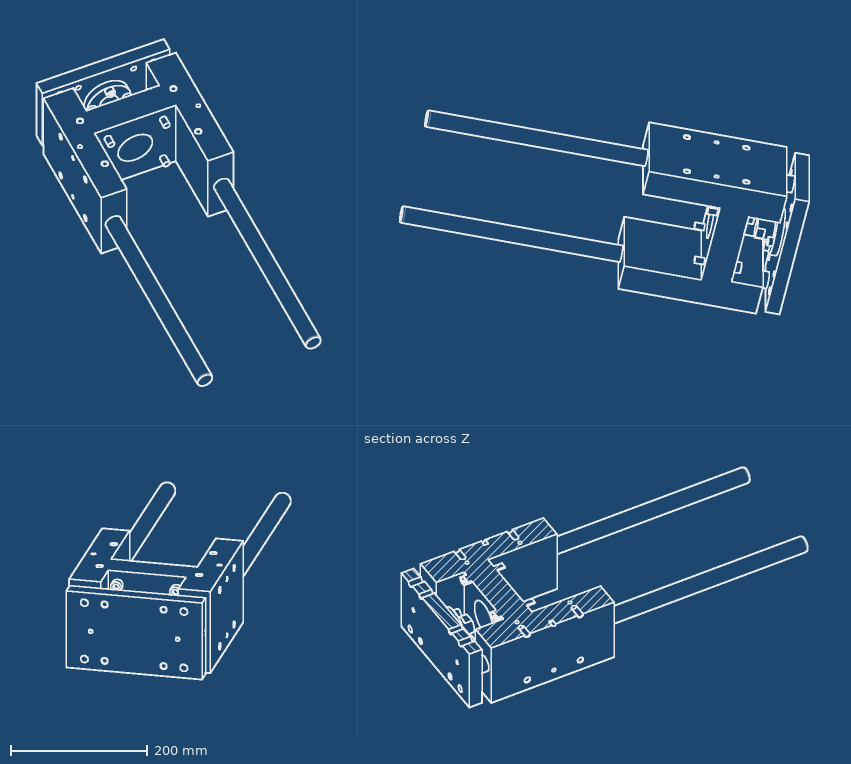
import cadquery as cq
import math


plate_thickness = 21.5
plate_width = 205
plate_height = 121

rod_diameter = 25
rod_spacing = 174
rod_end = 571
rod_taper_length = 3
rod_taper_start = rod_end - rod_taper_length
rod_taper_depth = 0.8

housing_gap = 13
housing_start = plate_thickness + housing_gap
housing_length = 207
housing_end = housing_start + housing_length
housing_width = 213
housing_height = 129
housing_top = 65.5
housing_bottom = housing_top - housing_height
front_opening_width = 117
rear_opening_width = 130
web_start = 81.5
web_thickness = 44.5
web_end = web_start + web_thickness
web_bore_diameter = 55

bolt_pitch = 89
half_pitch = bolt_pitch / 2
bolt_pattern_x = 140
thread_diameter = 10
tap_diameter = 8.5
tap_depth = 20
drill_point_angle = 118
dowel_diameter = 6
dowel_depth = 10
top_bolt_spacing = 150
top_dowel_spacing = 190
plate_clearance_diameter = 11
plate_clearance_spacing = 150
plate_dowel_spacing = 131

web_screw_diameter = 10
web_screw_head_diameter = 16
web_screw_head_height = 10.5
web_screw_projection = 14
web_screw_socket = 8
web_screw_socket_depth = 5

flange_diameter = 70
flange_thickness = 10.5
flange_end = plate_thickness + flange_thickness
boss_diameter = 29
boss_end = 57.5
flat_length = 12
flat_spacing = 24
flange_screw_head_diameter = 13
flange_screw_head_height = 8
flange_screw_circle = flange_diameter - flange_screw_head_diameter
flange_screw_count = 4
flange_screw_socket = 6
flange_screw_socket_depth = 4


def box(x_range, y_range, z_range):
    """Axis-aligned block between the given limits."""
    size = [high - low for low, high in (x_range, y_range, z_range)]
    corner = (x_range[0], y_range[0], z_range[0])
    return cq.Workplane("XY").box(*size, centered=False).translate(corner)


def rod_along_x(diameter, start, end, y=0, z=0):
    """Round bar parallel to X."""
    bar = cq.Workplane("YZ", origin=(start, y, z)).circle(diameter / 2)
    return bar.extrude(end - start)


def hex_along_x(across_flats, start, end, y=0, z=0):
    """Hexagonal bar parallel to X."""
    across_corners = across_flats / math.cos(math.pi / 6)
    return cq.Workplane("YZ", origin=(start, y, z)).polygon(6, across_corners).extrude(end - start)


def hole(point, direction, diameter, depth):
    """Cutter for a plain hole that enters at a point and runs along a direction."""
    cutter = cq.Solid.makeCylinder(diameter / 2, depth, cq.Vector(*point), cq.Vector(*direction))
    return cq.Workplane(cutter)


def tapped_hole(point, direction, depth):
    """Cutter for a tap hole with its mouth countersunk to the thread diameter."""
    countersink_depth = (thread_diameter - tap_diameter) / 2
    mouth = cq.Solid.makeCone(
        thread_diameter / 2, tap_diameter / 2, countersink_depth, cq.Vector(*point), cq.Vector(*direction)
    )
    return hole(point, direction, tap_diameter, depth).union(cq.Workplane(mouth))


def blind_tapped_hole(point, direction):
    """Cutter for a tapped hole that ends in a conical drill point."""
    radius = tap_diameter / 2
    point_length = radius / math.tan(math.radians(drill_point_angle / 2))
    bottom = cq.Vector(*point) + cq.Vector(*direction) * tap_depth
    drill_point = cq.Solid.makeCone(radius, 0, point_length, bottom, cq.Vector(*direction))
    return tapped_hole(point, direction, tap_depth).union(cq.Workplane(drill_point))


def make_housing():
    """H-shaped housing together with the cap screws fixed in its web."""
    z_range = (housing_bottom, housing_top)
    half_width = housing_width / 2
    half_front = front_opening_width / 2
    half_rear = rear_opening_width / 2
    body = box((housing_start, housing_end), (-half_width, half_width), z_range)
    body = body.cut(box((housing_start, web_start), (-half_front, half_front), z_range))
    body = body.cut(box((web_end, housing_end), (-half_rear, half_rear), z_range))
    body = body.cut(rod_along_x(web_bore_diameter, web_start, web_end))

    for side in (-1, 1):
        body = body.cut(rod_along_x(rod_diameter, housing_start, housing_end, side * rod_spacing / 2))

        for x in (bolt_pattern_x - half_pitch, bolt_pattern_x + half_pitch):
            top_point = (x, side * top_bolt_spacing / 2, housing_top)
            body = body.cut(blind_tapped_hole(top_point, (0, 0, -1)))
            for z in (-half_pitch, half_pitch):
                body = body.cut(blind_tapped_hole((x, side * half_width, z), (0, -side, 0)))

        top_dowel = (bolt_pattern_x, side * top_dowel_spacing / 2, housing_top)
        body = body.cut(hole(top_dowel, (0, 0, -1), dowel_diameter, dowel_depth))
        for z in (-half_pitch, half_pitch):
            side_dowel = (bolt_pattern_x, side * half_width, z)
            body = body.cut(hole(side_dowel, (0, -side, 0), dowel_diameter, dowel_depth))

    head_start = web_start - web_screw_head_height
    socket_end = head_start + web_screw_socket_depth
    for y in (-half_pitch, half_pitch):
        for z in (-half_pitch, half_pitch):
            head = rod_along_x(web_screw_head_diameter, head_start, web_start, y, z)
            shank = rod_along_x(web_screw_diameter, web_start, web_end + web_screw_projection, y, z)
            body = body.union(head).union(shank)
            body = body.cut(hex_along_x(web_screw_socket, head_start, socket_end, y, z))
    return body


def make_coupling():
    """Flanged boss with two wrench flats and a ring of cap screw heads."""
    coupling = rod_along_x(flange_diameter, plate_thickness, flange_end)
    boss = rod_along_x(boss_diameter, flange_end, boss_end)
    half_boss = boss_diameter / 2
    half_flats = flat_spacing / 2
    flat_x = (boss_end - flat_length, boss_end)
    for z_range in ((half_flats, half_boss), (-half_boss, -half_flats)):
        boss = boss.cut(box(flat_x, (-half_boss, half_boss), z_range))
    coupling = coupling.union(boss)

    head_end = flange_end + flange_screw_head_height
    socket_start = head_end - flange_screw_socket_depth
    for index in range(flange_screw_count):
        angle = 2 * math.pi * index / flange_screw_count
        y = flange_screw_circle / 2 * math.cos(angle)
        z = flange_screw_circle / 2 * math.sin(angle)
        coupling = coupling.union(rod_along_x(flange_screw_head_diameter, flange_end, head_end, y, z))
        coupling = coupling.cut(hex_along_x(flange_screw_socket, socket_start, head_end, y, z))
    return coupling


def tapered_rod_tip(y):
    """Slightly tapered end of the guide rod at the given Y."""
    radius = rod_diameter / 2
    base = cq.Vector(rod_taper_start, y, 0)
    tip = cq.Solid.makeCone(
        radius, radius - rod_taper_depth, rod_taper_length, base, cq.Vector(1, 0, 0)
    )
    return cq.Workplane(tip)


def make_slide():
    """End plate with its two guide rods and the piston coupling."""
    half_width = plate_width / 2
    half_height = plate_height / 2
    slide = box((0, plate_thickness), (-half_width, half_width), (-half_height, half_height))
    inward = (1, 0, 0)
    for side in (-1, 1):
        for z in (-half_pitch, half_pitch):
            clearance_point = (0, side * plate_clearance_spacing / 2, z)
            slide = slide.cut(hole(clearance_point, inward, plate_clearance_diameter, plate_thickness))
            slide = slide.cut(tapped_hole((0, side * half_pitch, z), inward, plate_thickness))
        dowel_point = (0, side * plate_dowel_spacing / 2, 0)
        slide = slide.cut(hole(dowel_point, inward, dowel_diameter, dowel_depth))
    for side in (-1, 1):
        rod = rod_along_x(rod_diameter, plate_thickness, rod_taper_start, side * rod_spacing / 2)
        tip = tapered_rod_tip(side * rod_spacing / 2)
        slide = slide.union(rod).union(tip)
    return slide.union(make_coupling())


housing = make_housing()
slide = make_slide()
result = cq.Compound.makeCompound([housing.val(), slide.val()])